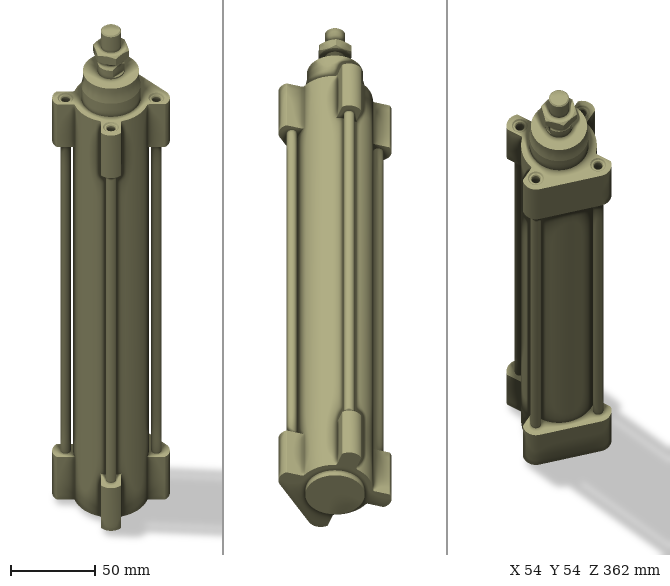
import cadquery as cq
import math

TOTAL_HEIGHT = 362.0
SPIGOT_HEIGHT = 4.0
CAP_HEIGHT = 33.0
REAR_CAP_TOP = SPIGOT_HEIGHT + CAP_HEIGHT
FRONT_CAP_TOP = 309.5
FRONT_CAP_BOTTOM = FRONT_CAP_TOP - CAP_HEIGHT

CAP_WIDTH = 54.0
CAP_CORE_DIAMETER = 45.0
LOBE_RADIUS = 8.0
LOBE_WIDTH = 12.0
LOBE_FILLET = 1.0
LOBE_OFFSET = CAP_WIDTH / 2 - LOBE_RADIUS
LOBE_ANGLES = (45, 135, 225, 315)

BARREL_DIAMETER = CAP_CORE_DIAMETER
TIE_ROD_DIAMETER = 6.0

SOCKET_DIAMETER = 9.5
SOCKET_FLOOR_DIAMETER = 8.0
SOCKET_FLOOR_DEPTH = 0.7
HOLE_MOUTH_DIAMETER = 6.0
HOLE_DIAMETER = 5.0
HOLE_TOP_DEPTH = 1.5
HOLE_BOTTOM_DEPTH = 11.0
DRILL_TIP_ANGLE = 120

COLLAR_DIAMETER = 35.0
COLLAR_STEP_HEIGHT = 319.5
COLLAR_TOP = 330.5
COLLAR_WAIST_DIAMETER = 33.3
COLLAR_TOP_DIAMETER = 33.3

ROD_DIAMETER = 16.0
ROD_FLAT_WIDTH = 12.5
ROD_FLAT_BOTTOM = 331.5
ROD_SHOULDER = 338.5
ROD_CHAMFER = 1.5
NECK_DIAMETER = 10.0
NECK_TOP = 339.5
THREAD_DIAMETER = 12.0
THREAD_CHAMFER = 0.7

NUT_BOTTOM = 342.7
NUT_HEIGHT = 6.5
NUT_WIDTH = 19.0
NUT_FACE_DIAMETER = 18.5
NUT_CHAMFER_ANGLE = 30


def cylinder(diameter, bottom, top):
    return cq.Workplane("XY").workplane(offset=bottom).circle(diameter / 2).extrude(top - bottom)


def at_lobes(height):
    """Workplane at the given height with a point on each of the four lobe axes."""
    spacing = 2 * LOBE_OFFSET
    return cq.Workplane("XY").workplane(offset=height).rect(spacing, spacing, forConstruction=True).vertices()


def is_lobe_flank_edge(edge):
    """True for the vertical edges along the straight flanks of the lobes."""
    middle = edge.Center()
    across = min(abs(middle.x - middle.y), abs(middle.x + middle.y)) / math.sqrt(2)
    return math.isclose(across, LOBE_WIDTH / 2, abs_tol=0.005)


def cap(bottom):
    """Round core with four rounded diagonal lobes; the +Y side is filled flat between its lobes."""
    base = cq.Workplane("XY").workplane(offset=bottom)
    body = base.circle(CAP_CORE_DIAMETER / 2).extrude(CAP_HEIGHT)
    lobe_reach = LOBE_OFFSET * math.sqrt(2)
    lobe_end = lobe_reach + LOBE_RADIUS
    strip = base.center(lobe_end / 2, 0).rect(lobe_end, LOBE_WIDTH).extrude(CAP_HEIGHT)
    inner_part = base.center(lobe_reach / 2, 0).rect(lobe_reach, LOBE_WIDTH).extrude(CAP_HEIGHT)
    tip = base.center(lobe_reach, 0).circle(LOBE_RADIUS).extrude(CAP_HEIGHT)
    lobe = tip.union(inner_part).intersect(strip)
    for angle in LOBE_ANGLES:
        body = body.union(lobe.rotate((0, 0, 0), (0, 0, 1), angle))
    flat_side = base.center(0, CAP_WIDTH / 4).rect(2 * LOBE_OFFSET, CAP_WIDTH / 2).extrude(CAP_HEIGHT)
    body = body.union(flat_side)
    side_edges = body.edges("|Z").filter(is_lobe_flank_edge)
    return body.newObject(side_edges.vals()).fillet(LOBE_FILLET)


def collar():
    """Plain ring carrying a slightly waisted front section."""
    waist_height = (COLLAR_STEP_HEIGHT + COLLAR_TOP) / 2
    return (
        cq.Workplane("XZ")
        .moveTo(0, FRONT_CAP_TOP)
        .lineTo(COLLAR_DIAMETER / 2, FRONT_CAP_TOP)
        .lineTo(COLLAR_DIAMETER / 2, COLLAR_STEP_HEIGHT)
        .threePointArc((COLLAR_WAIST_DIAMETER / 2, waist_height), (COLLAR_TOP_DIAMETER / 2, COLLAR_TOP))
        .lineTo(0, COLLAR_TOP)
        .close()
        .revolve(360, (0, 0, 0), (0, 1, 0))
    )


def tie_rod_sockets():
    """Shallow tapered recesses in the front cap, each with a countersunk hole ending in a cone."""
    hole_radius = HOLE_DIAMETER / 2
    tip_height = hole_radius / math.tan(math.radians(DRILL_TIP_ANGLE / 2))
    socket_floor = FRONT_CAP_TOP - SOCKET_FLOOR_DEPTH
    hole_bottom = FRONT_CAP_TOP - HOLE_BOTTOM_DEPTH
    profile = [
        (0, FRONT_CAP_TOP),
        (SOCKET_DIAMETER / 2, FRONT_CAP_TOP),
        (SOCKET_FLOOR_DIAMETER / 2, socket_floor),
        (HOLE_MOUTH_DIAMETER / 2, socket_floor),
        (hole_radius, FRONT_CAP_TOP - HOLE_TOP_DEPTH),
        (hole_radius, hole_bottom),
        (0, hole_bottom - tip_height),
    ]
    cutter = cq.Workplane("XZ").polyline(profile).close().revolve(360, (0, 0, 0), (0, 1, 0)).val()
    return at_lobes(0).eachpoint(lambda place: cutter.moved(place))


def make_rod():
    """Piston rod with a threaded end, an undercut neck and two wrench flats."""
    rod = cylinder(ROD_DIAMETER, FRONT_CAP_TOP, ROD_SHOULDER).faces(">Z").chamfer(ROD_CHAMFER)
    flats = (
        cq.Workplane("XY")
        .workplane(offset=ROD_FLAT_BOTTOM)
        .rect(2 * ROD_DIAMETER, 2 * ROD_DIAMETER)
        .rect(ROD_FLAT_WIDTH, 2 * ROD_DIAMETER)
        .extrude(ROD_SHOULDER - ROD_FLAT_BOTTOM)
    )
    neck = cylinder(NECK_DIAMETER, ROD_SHOULDER, NECK_TOP)
    thread = cylinder(THREAD_DIAMETER, NECK_TOP, TOTAL_HEIGHT).faces("<Z or >Z").chamfer(THREAD_CHAMFER)
    return rod.cut(flats).union(neck).union(thread)


def make_housing():
    """Barrel, end caps, tie rods, collar and rear spigot, with a seat for the piston rod."""
    spigot = cylinder(COLLAR_DIAMETER, 0, SPIGOT_HEIGHT)
    rear_end = cap(SPIGOT_HEIGHT).union(spigot)
    rod_seat = cylinder(ROD_DIAMETER, FRONT_CAP_TOP, COLLAR_TOP)
    front_end = cap(FRONT_CAP_BOTTOM).union(collar()).cut(tie_rod_sockets()).cut(rod_seat)
    tie_rods = at_lobes(REAR_CAP_TOP).circle(TIE_ROD_DIAMETER / 2).extrude(FRONT_CAP_BOTTOM - REAR_CAP_TOP)
    barrel = cylinder(BARREL_DIAMETER, REAR_CAP_TOP, FRONT_CAP_BOTTOM)
    ends_and_rods = rear_end.union(tie_rods).union(front_end)
    return ends_and_rods.union(barrel, clean=False)


def make_nut():
    """Hexagonal nut with corners chamfered at both ends and flats facing -X and +X."""
    corner_radius = NUT_WIDTH / math.sqrt(3)
    face_radius = NUT_FACE_DIAMETER / 2
    drop = (corner_radius - face_radius) * math.tan(math.radians(NUT_CHAMFER_ANGLE))
    top = NUT_BOTTOM + NUT_HEIGHT
    hexagon = (
        cq.Workplane("XY")
        .workplane(offset=NUT_BOTTOM)
        .polygon(6, 2 * corner_radius)
        .extrude(NUT_HEIGHT)
        .rotate((0, 0, 0), (0, 0, 1), 30)
    )
    envelope_profile = [
        (0, NUT_BOTTOM),
        (face_radius, NUT_BOTTOM),
        (corner_radius, NUT_BOTTOM + drop),
        (corner_radius, top - drop),
        (face_radius, top),
        (0, top),
    ]
    envelope = cq.Workplane("XZ").polyline(envelope_profile).close().revolve(360, (0, 0, 0), (0, 1, 0))
    return hexagon.intersect(envelope).cut(cylinder(THREAD_DIAMETER, NUT_BOTTOM, top))


housing = make_housing()
rod = make_rod()
nut = make_nut()
result = cq.Compound.makeCompound([housing.val(), rod.val(), nut.val()])